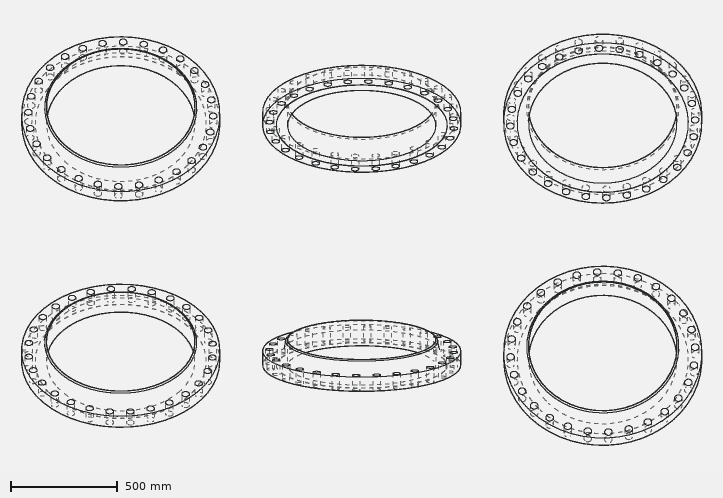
import cadquery as cq
import math

flange_diameter = 927.0
flange_top = 71.0
raised_face_diameter = 800.0
raised_face_height = 2.0
bore_diameter = 692.0

overall_height = 125.0
hub_base_diameter = 730.0
weld_end_diameter = 711.0
hub_fillet_radius = 6.0
weld_neck_length = 12.0
weld_land = 1.6
bevel_angle = 37.5

bolt_count = 28
bolt_circle_diameter = 864.0
bolt_hole_diameter = 35.0


def make_neck_flange():
    """Revolve the ring section about Z, with the sealing face at Z = 0."""
    bore_radius = bore_diameter / 2
    flange_radius = flange_diameter / 2
    raised_face_radius = raised_face_diameter / 2
    weld_end_radius = weld_end_diameter / 2
    land_radius = bore_radius + weld_land
    bevel_height = (weld_end_radius - land_radius) * math.tan(math.radians(bevel_angle))
    section = (
        cq.Workplane("XZ")
        .moveTo(bore_radius, 0)
        .lineTo(raised_face_radius, 0)
        .lineTo(raised_face_radius, raised_face_height)
        .lineTo(flange_radius, raised_face_height)
        .lineTo(flange_radius, flange_top)
        .lineTo(hub_base_diameter / 2, flange_top)
        .lineTo(weld_end_radius, overall_height - weld_neck_length)
        .lineTo(weld_end_radius, overall_height - bevel_height)
        .lineTo(land_radius, overall_height)
        .lineTo(bore_radius, overall_height)
        .close()
    )
    return section.revolve(360, (0, 0, 0), (0, 1, 0))


def fillet_hub_base(body):
    """Round the inner corner where the hub cone meets the flange plate."""
    tolerance = 1.0
    low = flange_top - tolerance
    high = flange_top + tolerance
    reach = (hub_base_diameter + bolt_circle_diameter) / 4
    hub_base_edge = cq.selectors.BoxSelector((-reach, -reach, low), (reach, reach, high), boundingbox=True)
    return body.edges(hub_base_edge).fillet(hub_fillet_radius)


def drill_bolt_holes(body):
    """Drill the evenly spaced bolt holes through the flange plate."""
    holes = (
        cq.Workplane("XY")
        .polarArray(bolt_circle_diameter / 2, 0, 360, bolt_count)
        .circle(bolt_hole_diameter / 2)
        .extrude(overall_height)
    )
    return body.cut(holes)


result = drill_bolt_holes(fillet_hub_base(make_neck_flange()))